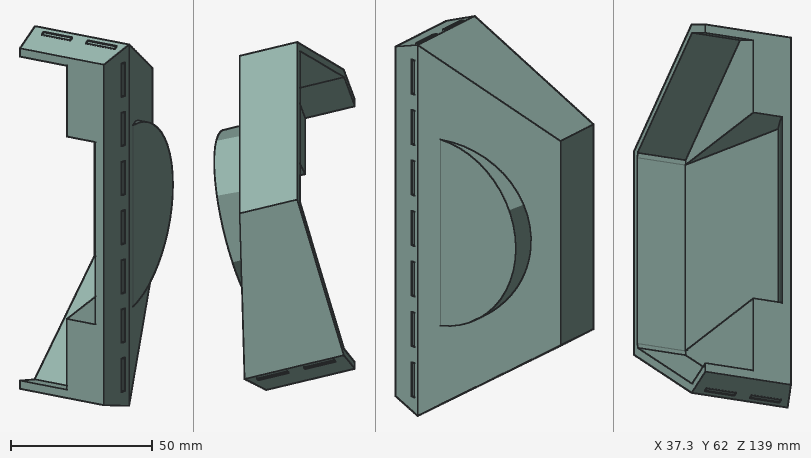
import cadquery as cq
import math

LENGTH = 139.0
DEPTH = 37.3
HEIGHT = 62.0
BACK_DEPTH = 21.5
BACK_HALF = 38.4
RIDGE_Y = 12.0
FRONT_TAPER = 4.0

WALL = 3.0
TRAY_DEPTH = 18.6
WELL_HALF = 35.0
WELL_RIDGE_X = 33.5
WELL_STEP_X = 30.6
WELL_STEP_Y = 3.6
WELL_FRONT_X = 29.9
CORNER_RAMP = 0.3

BOSS_RADIUS = WELL_HALF
BOSS_CENTRE_Y = 16.7
BOSS_FACE_X = 34.8

GROOVE_WIDTH = 1.7
GROOVE_DEPTH = 0.4
GROOVE_FROM_RIDGE = 2.8
LONG_GROOVE_LENGTH = 12.8
LONG_GROOVE_PITCH = 18.9
LONG_GROOVE_COUNT = 7
END_GROOVE_LENGTH = 11.4
END_GROOVE_CENTRES = (10.0, 27.5)

OVERCUT = 5.5
HALF = LENGTH / 2
TAPER_ANGLE = math.degrees(math.atan2(FRONT_TAPER, RIDGE_Y))
REAR_WALL_Y = HEIGHT - WALL


def side_outline(front_y):
    """Six-sided YZ outline whose tapered ends run on down to front_y."""
    front_half = HALF - FRONT_TAPER * (RIDGE_Y - front_y) / RIDGE_Y
    upper = [(front_y, front_half), (RIDGE_Y, HALF), (HEIGHT, BACK_HALF)]
    lower = [(y, -z) for y, z in reversed(upper)]
    return cq.Workplane("YZ").polyline(upper + lower).close()


def make_body():
    """Side outline trimmed to the sloping XY profile."""
    profile = [
        (0, 0),
        (DEPTH - FRONT_TAPER, 0),
        (DEPTH, RIDGE_Y),
        (BACK_DEPTH, HEIGHT),
        (0, HEIGHT),
    ]
    wedge = cq.Workplane("XY").polyline(profile).close().extrude(HALF, both=True)
    return side_outline(0).extrude(DEPTH).intersect(wedge)


def make_boss():
    """Half-round boss, running from the tray floor level out to its flat face."""
    centre = BOSS_CENTRE_Y
    return (
        cq.Workplane("YZ", origin=(TRAY_DEPTH, 0, 0))
        .moveTo(centre, -BOSS_RADIUS)
        .threePointArc((centre + BOSS_RADIUS, 0), (centre, BOSS_RADIUS))
        .close()
        .extrude(BOSS_FACE_X - TRAY_DEPTH)
    )


def make_tray():
    """Recess following the outline at wall thickness, open at X = 0 and Y = 0."""
    tray = side_outline(-OVERCUT).offset2D(-WALL).extrude(TRAY_DEPTH)
    for side in (1, -1):
        corner = [
            (REAR_WALL_Y, side * WELL_HALF),
            (REAR_WALL_Y, side * BACK_HALF),
            (REAR_WALL_Y - CORNER_RAMP, side * BACK_HALF),
        ]
        tray = tray.cut(cq.Workplane("YZ").polyline(corner).close().extrude(TRAY_DEPTH))
    return tray


def make_well():
    """Deeper central recess whose floor follows the sloping outside."""
    floor = [
        (0, -OVERCUT),
        (WELL_FRONT_X, -OVERCUT),
        (WELL_FRONT_X, 0),
        (WELL_STEP_X, WELL_STEP_Y),
        (WELL_RIDGE_X, RIDGE_Y),
        (TRAY_DEPTH, REAR_WALL_Y),
        (0, REAR_WALL_Y),
    ]
    return cq.Workplane("XY").polyline(floor).close().extrude(WELL_HALF, both=True)


def long_grooves():
    """Row of grooves on the tapered +X face."""
    middle = (LONG_GROOVE_COUNT - 1) / 2
    row = cq.Workplane("XY")
    for index in range(LONG_GROOVE_COUNT):
        z = (index - middle) * LONG_GROOVE_PITCH
        groove = cq.Workplane("XY").box(2 * GROOVE_DEPTH, GROOVE_WIDTH, LONG_GROOVE_LENGTH)
        row = row.add(groove.translate((0, -GROOVE_FROM_RIDGE, z)))
    return row.combine().rotate((0, 0, 0), (0, 0, 1), -TAPER_ANGLE).translate((DEPTH, RIDGE_Y, 0))


def upper_grooves():
    """Pair of grooves on the tapered face at the +Z end."""
    row = cq.Workplane("XY")
    for x in END_GROOVE_CENTRES:
        groove = cq.Workplane("XY").box(END_GROOVE_LENGTH, GROOVE_WIDTH, 2 * GROOVE_DEPTH)
        row = row.add(groove.translate((x, -GROOVE_FROM_RIDGE, 0)))
    return row.combine().rotate((0, 0, 0), (1, 0, 0), TAPER_ANGLE).translate((0, RIDGE_Y, HALF))


end_pair = upper_grooves()
result = make_body().union(make_boss())
result = result.cut(make_tray()).cut(make_well())
result = result.cut(long_grooves()).cut(end_pair).cut(end_pair.mirror("XY"))